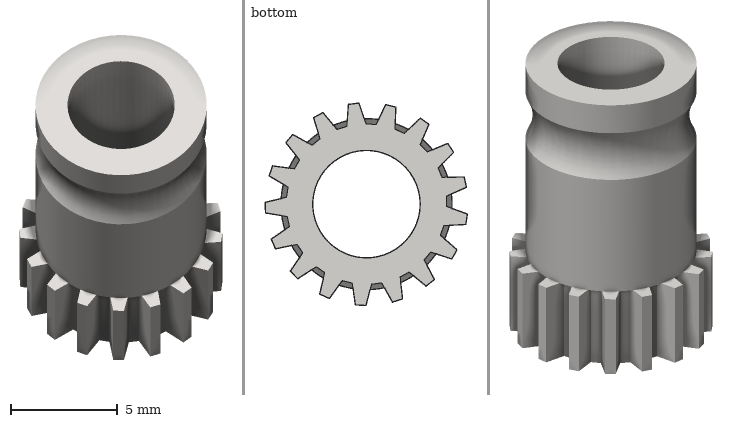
import cadquery as cq
import math

total_height = 14.0
body_radius = 4.0
bore_radius = 2.5

collar_height = 1.5
groove_width = 2.5
groove_depth = 0.34

tooth_count = 17
gear_height = 4.0
tip_radius = 4.75
root_radius = 3.75
tip_width = 0.5
root_width = 0.91
first_tooth_angle = 8.6


def make_sleeve():
    """Revolve the sleeve, with the groove as an arc in its outer side."""
    groove_top = total_height - collar_height
    groove_bottom = groove_top - groove_width
    groove_middle = (groove_top + groove_bottom) / 2
    return (
        cq.Workplane("XZ")
        .moveTo(bore_radius, gear_height)
        .lineTo(body_radius, gear_height)
        .lineTo(body_radius, groove_bottom)
        .threePointArc((body_radius - groove_depth, groove_middle), (body_radius, groove_top))
        .lineTo(body_radius, total_height)
        .lineTo(bore_radius, total_height)
        .close()
        .revolve(360, (0, 0, 0), (0, 1, 0))
    )


def polar_point(radius, angle):
    """Point at a radius and an angle in radians about the gear axis."""
    return (radius * math.cos(angle), radius * math.sin(angle))


def make_gear():
    """Extrude the toothed outline around the bore."""
    tip_half_angle = math.asin(tip_width / 2 / tip_radius)
    root_half_angle = math.asin(root_width / 2 / root_radius)
    outline = []
    for index in range(tooth_count):
        middle = math.radians(first_tooth_angle + index * 360 / tooth_count)
        outline.append(polar_point(root_radius, middle - root_half_angle))
        outline.append(polar_point(tip_radius, middle - tip_half_angle))
        outline.append(polar_point(tip_radius, middle + tip_half_angle))
        outline.append(polar_point(root_radius, middle + root_half_angle))
    blank = cq.Workplane("XY").polyline(outline).close().extrude(gear_height)
    bore = cq.Workplane("XY").circle(bore_radius).extrude(gear_height)
    return blank.cut(bore)


result = make_gear().union(make_sleeve())